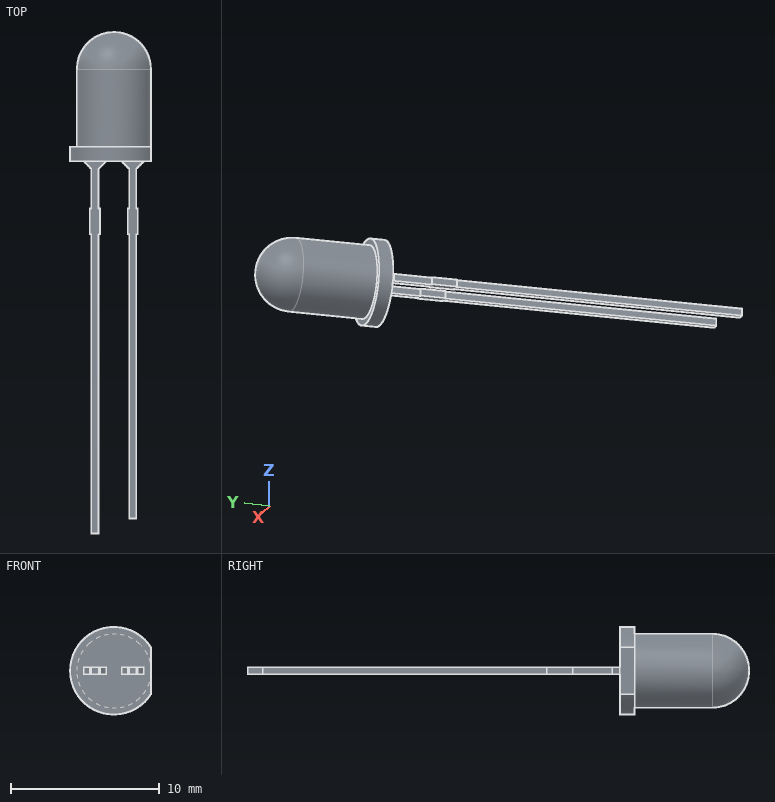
import cadquery as cq

lens_radius = 2.5
lens_height = 8.7
dome_start = lens_height - lens_radius
flange_radius = 2.95
flange_height = 1.0
flat_offset = lens_radius

lead_pitch = 2.54
lead_width = 0.5
long_lead_length = 25.0
short_lead_length = 24.0

foot_width = 1.5
foot_height = (foot_width - lead_width) / 2

standoff_width = 0.7
standoff_start = 3.15
standoff_end = 4.9


def make_lens():
    """Flange, cylinder and dome revolved about the Y axis, with the flange flat cut on +X."""
    body = (
        cq.Workplane("XY")
        .lineTo(flange_radius, 0)
        .lineTo(flange_radius, flange_height)
        .lineTo(lens_radius, flange_height)
        .lineTo(lens_radius, dome_start)
        .radiusArc((0, lens_height), -lens_radius)
        .close()
        .revolve(360, (0, 0), (0, 1))
    )
    flat_cutter = cq.Workplane("XY").box(
        flange_radius, flange_height, 2 * flange_radius, centered=(False, False, True)
    )
    return body.cut(flat_cutter.translate((flat_offset, 0, 0)))


def make_lead(center_x, length):
    """One lead with its tapered foot and standoff, centred on Z = 0."""
    half_lead = lead_width / 2
    half_foot = foot_width / 2
    half_standoff = standoff_width / 2
    right_side = [
        (half_foot, 0),
        (half_lead, -foot_height),
        (half_lead, -standoff_start),
        (half_standoff, -standoff_start),
        (half_standoff, -standoff_end),
        (half_lead, -standoff_end),
        (half_lead, -length),
    ]
    left_side = [(-x, y) for x, y in reversed(right_side)]
    profile = cq.Workplane("XY").polyline(right_side + left_side).close()
    return profile.extrude(half_lead, both=True).translate((center_x, 0, 0))


long_lead = make_lead(-lead_pitch / 2, long_lead_length)
short_lead = make_lead(lead_pitch / 2, short_lead_length)
result = make_lens().union(long_lead).union(short_lead)